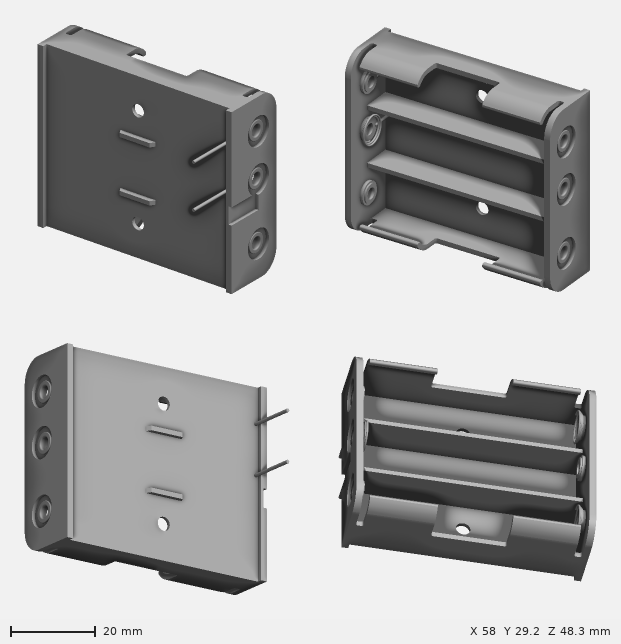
import cadquery as cq
import math


LENGTH = 58.0
HEIGHT = 48.3
DEPTH = 17.35
END_WALL = 1.7
WALL = 1.35
FLOOR_THICKNESS = 1.0
FLOOR_RECESS = 1.35

TOP_Z = HEIGHT / 2
INNER_X = LENGTH / 2 - END_WALL

CORNER_RADIUS = 5.8
BLEND_START_Y = 11.95
BLEND_END_Y = 12.8

CORNER_CENTER_Y = DEPTH - CORNER_RADIUS
BLEND_ANGLE = math.asin((BLEND_END_Y - CORNER_CENTER_Y) / CORNER_RADIUS)
BLEND_RADIUS = (BLEND_END_Y - BLEND_START_Y) / math.sin(BLEND_ANGLE)
BLEND_END_Z = TOP_Z - BLEND_RADIUS * (1 - math.cos(BLEND_ANGLE))
CORNER_CENTER_Z = BLEND_END_Z - CORNER_RADIUS * math.cos(BLEND_ANGLE)

LIP_Y = 16.3
OPENING_HEIGHT = 41.75
LIP_TIP_RADIUS = 0.45
SELECTION_MARGIN = 0.05
NOTCH_LENGTH = 18.25
NOTCH_Y = 8.4
SLOT_LENGTH = 1.8
CUT_CORNER_RADIUS = 0.5

DIVIDER_Z = 7.7
DIVIDER_THICKNESS = 1.15
DIVIDER_TOP_Y = 10.3
RIB_BASE_LENGTH = 10.55
RIB_TIP_LENGTH = 8.95
MOUNT_HOLE_DIAMETER = 3.5
MOUNT_HOLE_Z = 14.95

CONTACT_Y = 10.4
TOP_CONTACT_Z = 14.9
MIDDLE_CONTACT_Z = 2.15
BOTTOM_CONTACT_Z = -14.95
COUNTERBORE_RADIUS = 4.05
COUNTERBORE_DEPTH = 0.9
BORE_RADIUS = 1.5
SHANK_RADIUS = 2.15
HEAD_RADIUS = 2.7
HEAD_THICKNESS = 0.35
HEAD_ROUND = 0.2
BORE_ROUND = 0.35
COLLAR_RADIUS = 3.1
COLLAR_THICKNESS = 0.8
BUTTON_RADIUS = 2.55
BUTTON_THICKNESS = 0.4
WIRE_DIAMETER = 0.495
SPRING_START_RADIUS = 3.15
SPRING_END_RADIUS = 4.3
SPRING_TURNS = 2.5

PIN_DIAMETER = 0.85
PIN_X = 26.7
PIN_END_Y = -11.8
PIN_TOP_Y = CONTACT_Y - (BORE_RADIUS + COLLAR_RADIUS) / 2

CHANNEL_DEPTH = 0.9
CHANNEL_WIDTH = 4.8
CHANNEL_Z = -3.55

CONTACT_ZS = [TOP_CONTACT_Z, MIDDLE_CONTACT_Z, BOTTOM_CONTACT_Z]
PIN_ZS = [TOP_CONTACT_Z, MIDDLE_CONTACT_Z]


def block(x0, x1, y0, y1, z0, z1):
    return cq.Workplane("XY").box(x1 - x0, y1 - y0, z1 - z0, centered=False).translate((x0, y0, z0))


def x_disc(radius, x0, x1, z):
    """Cylinder along X on a contact axis."""
    return cq.Workplane("YZ", origin=(x0, CONTACT_Y, z)).circle(radius).extrude(x1 - x0)


def profile(front_y, inset, half_length):
    """Housing cross-section, moved inwards by an inset and extruded along X."""
    top = TOP_Z - inset
    blend = BLEND_RADIUS - inset
    sin, cos = math.sin(BLEND_ANGLE), math.cos(BLEND_ANGLE)
    blend_y = BLEND_START_Y + blend * sin
    blend_z = top - blend * (1 - cos)
    rear_y = DEPTH - inset
    return (
        cq.Workplane("YZ", origin=(-half_length, 0, 0))
        .moveTo(front_y, -top)
        .lineTo(BLEND_START_Y, -top)
        .tangentArcPoint((blend_y, -blend_z), relative=False)
        .tangentArcPoint((rear_y, -CORNER_CENTER_Z), relative=False)
        .lineTo(rear_y, CORNER_CENTER_Z)
        .tangentArcPoint((blend_y, blend_z), relative=False)
        .tangentArcPoint((BLEND_START_Y, top), relative=False)
        .lineTo(front_y, top)
        .close()
        .extrude(2 * half_length)
    )


def wall_cut(center_x, length):
    """Opening cut down from the rear through both long walls, with rounded lower corners."""
    cut = block(center_x - length / 2, center_x + length / 2, NOTCH_Y, DEPTH, -TOP_Z, TOP_Z)
    return cut.edges("|Z and <Y").fillet(CUT_CORNER_RADIUS)


def rib(z):
    """Standoff rib on the front of the floor, tapered at both ends."""
    return (
        cq.Workplane("XY", origin=(0, 0, z - DIVIDER_THICKNESS / 2))
        .polyline([
            (-RIB_BASE_LENGTH / 2, FLOOR_RECESS),
            (-RIB_TIP_LENGTH / 2, 0),
            (RIB_TIP_LENGTH / 2, 0),
            (RIB_BASE_LENGTH / 2, FLOOR_RECESS),
        ])
        .close()
        .extrude(DIVIDER_THICKNESS)
    )


def make_pin(z):
    """Round terminal running from a contact collar out through the floor."""
    pin = cq.Workplane("XZ", origin=(PIN_X, PIN_TOP_Y, z)).circle(PIN_DIAMETER / 2)
    return pin.extrude(PIN_TOP_Y - PIN_END_Y)


def make_housing():
    """Shell with end walls, curved lips, two cell dividers and seats for the contacts."""
    half = LENGTH / 2
    body = profile(0, 0, half)
    body = body.cut(block(-INNER_X, INNER_X, 0, FLOOR_RECESS, -TOP_Z, TOP_Z))
    body = body.cut(profile(FLOOR_RECESS + FLOOR_THICKNESS, WALL, INNER_X))

    half_opening = OPENING_HEIGHT / 2
    body = body.cut(block(-INNER_X, INNER_X, CONTACT_Y, DEPTH, -half_opening, half_opening))
    body = body.cut(block(-INNER_X, INNER_X, LIP_Y, DEPTH, -TOP_Z, TOP_Z))
    tip_edges = cq.selectors.BoxSelector(
        (-INNER_X, LIP_Y - SELECTION_MARGIN, -half_opening - SELECTION_MARGIN),
        (INNER_X, LIP_Y + SELECTION_MARGIN, half_opening + SELECTION_MARGIN),
    )
    body = body.edges(tip_edges).fillet(LIP_TIP_RADIUS)

    body = body.cut(wall_cut(0, NOTCH_LENGTH))
    for side in (-1, 1):
        body = body.cut(wall_cut(side * (INNER_X - SLOT_LENGTH / 2), SLOT_LENGTH))

    for side in (-1, 1):
        z = side * DIVIDER_Z
        z0 = z - DIVIDER_THICKNESS / 2
        divider = block(-INNER_X, INNER_X, FLOOR_RECESS, DIVIDER_TOP_Y, z0, z0 + DIVIDER_THICKNESS)
        body = body.union(divider).union(rib(z))

    mounts = cq.Workplane("XZ").pushPoints([(0, MOUNT_HOLE_Z), (0, -MOUNT_HOLE_Z)])
    body = body.cut(mounts.circle(MOUNT_HOLE_DIAMETER / 2).extrude(-CONTACT_Y))

    for z in CONTACT_ZS:
        body = body.cut(x_disc(SHANK_RADIUS, -half, half, z))
        body = body.cut(x_disc(COUNTERBORE_RADIUS, -half, COUNTERBORE_DEPTH - half, z))
        body = body.cut(x_disc(COUNTERBORE_RADIUS, half - COUNTERBORE_DEPTH, half, z))

    for z in PIN_ZS:
        body = body.cut(make_pin(z))

    z0 = CHANNEL_Z - CHANNEL_WIDTH / 2
    return body.cut(block(half - CHANNEL_DEPTH, half, 0, CONTACT_Y, z0, z0 + CHANNEL_WIDTH))


def make_spring(x, z):
    """Conical coil widening from the collar towards the cell."""
    height = SPRING_TURNS * WIRE_DIAMETER
    angle = math.degrees(math.atan((SPRING_END_RADIUS - SPRING_START_RADIUS) / height))
    path = cq.Wire.makeHelix(WIRE_DIAMETER, height, SPRING_START_RADIUS, angle=angle)
    coil = (
        cq.Workplane("XZ", origin=(SPRING_START_RADIUS, 0, 0))
        .circle(WIRE_DIAMETER / 2)
        .sweep(cq.Workplane(path), isFrenet=True)
    )
    return coil.rotate((0, 0, 0), (0, 1, 0), 90).translate((x, CONTACT_Y, z))


def make_contact(z, has_spring):
    """Hollow rivet in the -X end wall, with a spring or a button facing the cell."""
    seat_x = COUNTERBORE_DEPTH - LENGTH / 2
    head_x = seat_x - HEAD_THICKNESS
    collar_x = COLLAR_THICKNESS - INNER_X
    button_x = collar_x + BUTTON_THICKNESS

    head = x_disc(HEAD_RADIUS, head_x, seat_x, z)
    head = head.faces("<X").edges().fillet(HEAD_ROUND)
    contact = head.union(x_disc(SHANK_RADIUS, seat_x, -INNER_X, z))
    contact = contact.union(x_disc(COLLAR_RADIUS, -INNER_X, collar_x, z))
    if not has_spring:
        contact = contact.union(x_disc(BUTTON_RADIUS, collar_x, button_x, z))

    contact = contact.cut(x_disc(BORE_RADIUS, head_x, button_x, z))
    bore_mouth = cq.selectors.RadiusNthSelector(0)
    contact = contact.faces("<X").edges(bore_mouth).fillet(BORE_ROUND)
    if has_spring:
        contact = contact.union(make_spring(collar_x, z))
    return contact


housing = make_housing()

contacts = []
for index, contact_z in enumerate(CONTACT_ZS):
    spring_on_left = index % 2 == 0
    left_contact = make_contact(contact_z, spring_on_left)
    right_contact = make_contact(contact_z, not spring_on_left).mirror("YZ")
    if contact_z in PIN_ZS:
        right_contact = right_contact.union(make_pin(contact_z))
    contacts += [left_contact, right_contact]

result = cq.Compound.makeCompound([housing.val(), *[contact.val() for contact in contacts]])